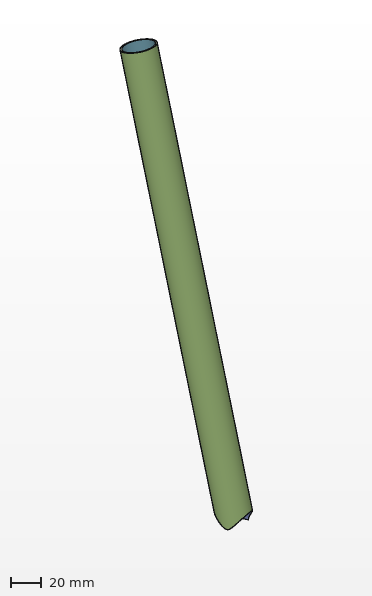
import cadquery as cq

tube_diameter = 24.8
wall_thickness = 1.3
tube_length = 338.0
tube_direction = cq.Vector(-0.31, 0.25, 1).normalized()

saddle_radius = tube_diameter / 2
saddle_direction = cq.Vector(1, -0.1, 0.12).normalized()
saddle_offset = 0.3

end_stock = 25.7
cutter_size = 128.5

saddle_centre = cq.Vector(0, -saddle_offset, 0)
stock_length = tube_length + end_stock


def make_tube():
    """Straight hollow tube running past the saddle axis at its lower end."""
    stock_start = tube_direction * -end_stock
    end_plane = cq.Plane(origin=stock_start, normal=tube_direction)
    outer_radius = tube_diameter / 2
    return (
        cq.Workplane(end_plane)
        .circle(outer_radius)
        .circle(outer_radius - wall_thickness)
        .extrude(stock_length)
    )


def make_saddle_cutter():
    """Crossing cylinder joined to everything below the plane through its axis."""
    cross_direction = tube_direction.cross(saddle_direction)
    upward = saddle_direction.cross(cross_direction)
    axis_plane = cq.Plane(origin=saddle_centre, xDir=saddle_direction, normal=upward)
    below_axis = cq.Workplane(axis_plane).rect(cutter_size, cutter_size).extrude(-cutter_size)
    cross_plane = cq.Plane(origin=saddle_centre, normal=saddle_direction)
    crossing = cq.Workplane(cross_plane).circle(saddle_radius).extrude(cutter_size / 2, both=True)
    return below_axis.union(crossing)


result = make_tube().cut(make_saddle_cutter())